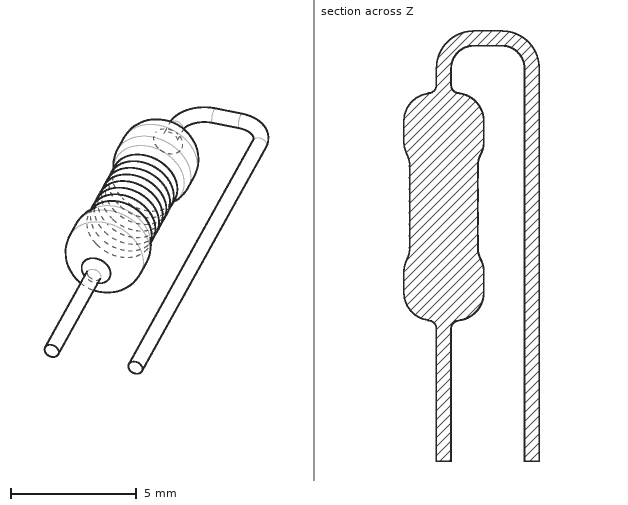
import cadquery as cq

total_length = 17.1
wire_diameter = 0.6
lead_spacing = 3.5
bend_radius = 1.2

body_length = 9.05
body_centre_y = 10.1
cap_diameter = 3.2
waist_diameter = 2.72
band_diameter = 2.74
cap_end_radius = 1.13
cap_straight_length = 0.82
collar_radius = 0.3
collar_embed = 0.09

band_count = 4
band_width = 0.46

wire_radius = wire_diameter / 2
cap_radius = cap_diameter / 2
waist_radius = waist_diameter / 2
half_body = body_length / 2
half_waist = (2 * band_count - 1) * band_width / 2


def make_rod(diameter, length, centre_y):
    """Solid cylinder along Y, centred at the given Y."""
    return (
        cq.Workplane("XZ", origin=(0, centre_y + length / 2, 0))
        .circle(diameter / 2)
        .extrude(length)
    )


def make_body():
    """Dog-bone body: two rounded caps joined to the waist by S-shaped necks."""
    end_flat_radius = cap_radius - cap_end_radius
    cap_outer_y = half_body - cap_end_radius
    cap_inner_y = cap_outer_y - cap_straight_length
    neck_radius = (cap_radius + waist_radius) / 2
    neck_y = (cap_inner_y + half_waist) / 2
    cap = (
        cq.Workplane("XY")
        .moveTo(0, half_waist)
        .lineTo(0, half_body)
        .lineTo(end_flat_radius, half_body)
        .tangentArcPoint((cap_radius, cap_outer_y), relative=False)
        .lineTo(cap_radius, cap_inner_y)
        .tangentArcPoint((neck_radius, neck_y), relative=False)
        .tangentArcPoint((waist_radius, half_waist), relative=False)
        .close()
        .revolve(360, (0, 0, 0), (0, 1, 0))
    )
    waist = make_rod(waist_diameter, 2 * half_waist, 0)
    return waist.union(cap).union(cap.mirror("XZ"))


def make_collar():
    """Flare blending the body end on the +Y side into its lead."""
    return (
        cq.Workplane("XY")
        .moveTo(0, half_body - collar_embed)
        .lineTo(wire_radius + collar_radius, half_body - collar_embed)
        .lineTo(wire_radius + collar_radius, half_body)
        .radiusArc((wire_radius, half_body + collar_radius), collar_radius)
        .lineTo(0, half_body + collar_radius)
        .close()
        .revolve(360, (0, 0, 0), (0, 1, 0))
    )


def make_wire():
    """Round wire running through the body, then folded back beside it."""
    crossbar_y = total_length - wire_radius
    bend_start_y = crossbar_y - bend_radius
    path = (
        cq.Workplane("XY")
        .lineTo(0, bend_start_y)
        .tangentArcPoint((bend_radius, crossbar_y), relative=False)
        .lineTo(lead_spacing - bend_radius, crossbar_y)
        .tangentArcPoint((lead_spacing, bend_start_y), relative=False)
        .lineTo(lead_spacing, 0)
    )
    return cq.Workplane("XZ").circle(wire_radius).sweep(path)


body = make_body()

for index in range(band_count):
    band_offset = index - (band_count - 1) / 2
    band = make_rod(band_diameter, band_width, 2 * band_width * band_offset)
    body = body.union(band)

collar = make_collar()
body = body.union(collar).union(collar.mirror("XZ"))

result = body.translate((0, body_centre_y, 0)).union(make_wire())